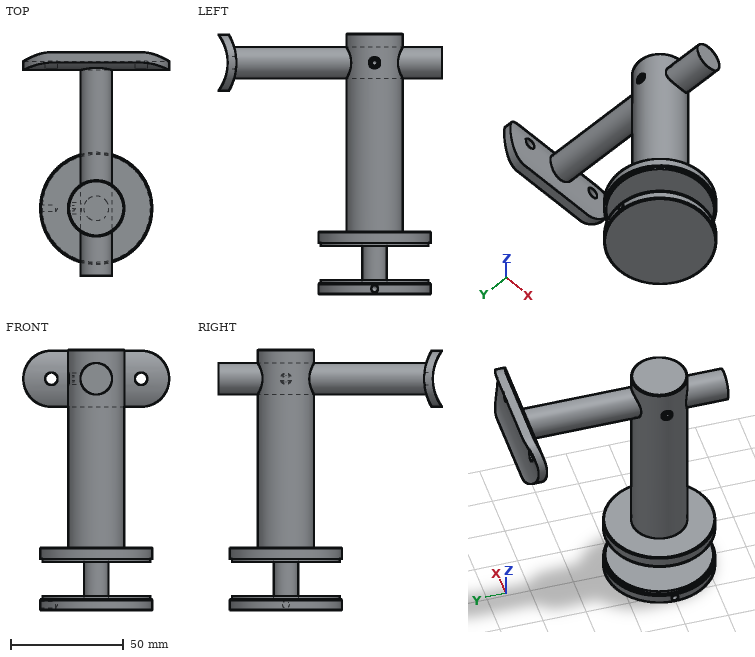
import cadquery as cq
import math

overall_height = 116.0
post_diameter = 25.0
post_edge_chamfer = 0.5
bar_diameter = 14.0
bar_height = 103.0
bar_free_end = 30.0

saddle_length = 65.0
saddle_width = 25.0
saddle_back = 69.5
saddle_inner_radius = 21.2
saddle_thickness = 4.0
saddle_hole_diameter = 5.5

disc_diameter = 50.0
disc_thickness = 5.0
disc_edge_chamfer = 0.5
gasket_diameter = 48.0
gasket_thickness = 1.5
spacer_diameter = 11.0
post_base_height = 28.0

disc_hole_diameter = 3.0
disc_hole_depth = 7.0
disc_hole_height = 2.5

screw_diameter = 5.0
screw_edge_chamfer = 0.5
screw_socket_across_flats = 2.5
screw_socket_depth = 2.5

drill_point_angle = 118.0

post_radius = post_diameter / 2
disc_radius = disc_diameter / 2
upper_disc_base = post_base_height - disc_thickness
upper_gasket_base = upper_disc_base - gasket_thickness
saddle_outer_radius = saddle_inner_radius + saddle_thickness
saddle_axis_y = saddle_back + math.sqrt(saddle_inner_radius**2 - (saddle_width / 2) ** 2)
saddle_hole_spacing = saddle_length - saddle_width


def upright_cylinder(diameter, base, height):
    return cq.Workplane("XY").workplane(offset=base).circle(diameter / 2).extrude(height)


def cylinder_along_x(diameter, start, length, y=0.0, z=bar_height):
    return cq.Workplane("YZ", origin=(start, y, z)).circle(diameter / 2).extrude(length)


def cylinder_along_y(diameter, start, end):
    """Cylinder on the bar axis between two Y positions, start being the greater."""
    return cq.Workplane("XZ", origin=(0, start, bar_height)).circle(diameter / 2).extrude(start - end)


def drill_point_along_x(diameter, start, z):
    """Conical hole bottom that starts at full diameter and narrows to a point towards +X."""
    length = diameter / 2 / math.tan(math.radians(drill_point_angle / 2))
    cone = cq.Solid.makeCone(diameter / 2, 0, length, cq.Vector(start, 0, z), cq.Vector(1, 0, 0))
    return cq.Workplane(obj=cone)


def handrail_cylinder(radius):
    """Cylinder on the handrail axis, as long as the saddle."""
    return cylinder_along_x(2 * radius, -saddle_length / 2, saddle_length, y=saddle_axis_y)


def make_bar():
    bar = cylinder_along_y(bar_diameter, saddle_axis_y, -bar_free_end)
    return bar.cut(handrail_cylinder(saddle_outer_radius))


def make_saddle():
    """Round-ended plate, curved to fit the underside of a handrail."""
    curved_plate = handrail_cylinder(saddle_outer_radius).cut(handrail_cylinder(saddle_inner_radius))
    face_plane = cq.Workplane("XZ", origin=(0, saddle_axis_y, bar_height))
    outline = face_plane.slot2D(saddle_length, saddle_width).extrude(saddle_outer_radius)
    holes = (
        face_plane.pushPoints([(-saddle_hole_spacing / 2, 0), (saddle_hole_spacing / 2, 0)])
        .circle(saddle_hole_diameter / 2)
        .extrude(saddle_outer_radius)
    )
    return curved_plate.intersect(outline).cut(holes)


def make_post():
    post = upright_cylinder(post_diameter, post_base_height, overall_height - post_base_height)
    post = post.faces(">Z").edges().chamfer(post_edge_chamfer)
    bar_hole = cylinder_along_y(bar_diameter, post_diameter, -post_diameter)
    screw_hole = cylinder_along_x(screw_diameter, -post_diameter, post_diameter)
    return post.cut(bar_hole).cut(screw_hole)


def make_set_screw():
    """Set screw with a hexagon socket, pressed against the side of the bar."""
    screw = cylinder_along_x(screw_diameter, -post_radius, post_radius)
    screw = screw.faces("<X").edges().chamfer(screw_edge_chamfer)
    socket = (
        cq.Workplane("YZ", origin=(-post_radius, 0, bar_height))
        .polygon(6, screw_socket_across_flats, circumscribed=True)
        .extrude(screw_socket_depth)
    )
    bar_clearance = cylinder_along_y(bar_diameter, post_diameter, -post_diameter)
    socket_end = screw_socket_depth - post_radius
    socket_point = drill_point_along_x(screw_socket_across_flats, socket_end, bar_height)
    return screw.cut(socket).cut(socket_point).cut(bar_clearance)


def make_upper_disc():
    disc = upright_cylinder(disc_diameter, upper_disc_base, disc_thickness)
    return disc.faces(">Z").edges().chamfer(disc_edge_chamfer)


def make_lower_disc():
    disc = upright_cylinder(disc_diameter, 0, disc_thickness)
    disc = disc.faces("<Z or >Z").edges().chamfer(disc_edge_chamfer)
    spanner_hole = cylinder_along_x(disc_hole_diameter, -disc_radius, disc_hole_depth, z=disc_hole_height)
    hole_end = disc_hole_depth - disc_radius
    hole_point = drill_point_along_x(disc_hole_diameter, hole_end, disc_hole_height)
    return disc.cut(spanner_hole).cut(hole_point)


def make_gasket(base):
    gasket = upright_cylinder(gasket_diameter, base, gasket_thickness)
    return gasket.cut(upright_cylinder(spacer_diameter, base, gasket_thickness))


def make_spacer():
    """Spacer between the two discs, passing through both gaskets."""
    return upright_cylinder(spacer_diameter, disc_thickness, upper_disc_base - disc_thickness)


bar = make_bar()
saddle = make_saddle()
post = make_post()
set_screw = make_set_screw()
upper_disc = make_upper_disc()
lower_disc = make_lower_disc()
spacer = make_spacer()
gaskets = [make_gasket(base) for base in (disc_thickness, upper_gasket_base)]

result = cq.Compound.makeCompound(
    [
        bar.val(),
        saddle.val(),
        post.val(),
        set_screw.val(),
        upper_disc.val(),
        lower_disc.val(),
        spacer.val(),
        *[gasket.val() for gasket in gaskets],
    ]
)